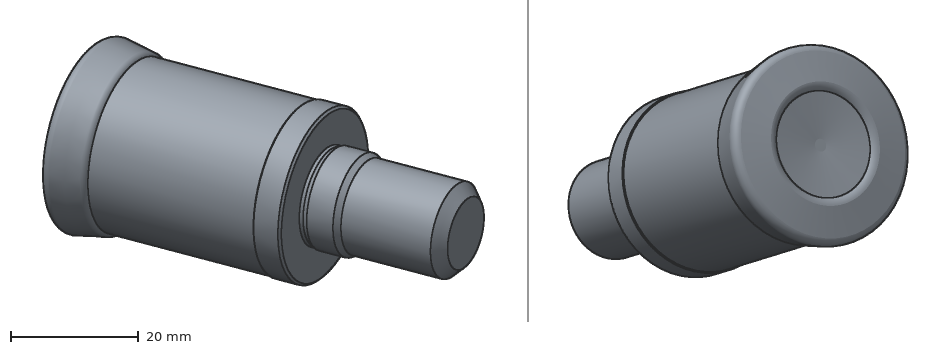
import cadquery as cq

TOTAL_LENGTH = 68.0

CAP_LENGTH = 8.4
CAP_RADIUS = 16.0
CAP_CROWN_X = 2.4
FACE_CREST_RADIUS = 9.85
FACE_RIM_X = 0.75
FACE_RIM_RADIUS = 14.9
FRONT_ROUND_MID_X = 1.2
FRONT_ROUND_MID_RADIUS = 15.65
FLARE_END_X = 7.4
FLARE_END_RADIUS = 15.0
REAR_ROUND_MID_X = 8.1
REAR_ROUND_MID_RADIUS = 14.75
DISH_RADIUS = 8.5
DISH_EDGE_X = 0.7
LIP_MID_RADIUS = 9.1
LIP_MID_X = 0.2
DISH_FLOOR_X = 1.5
DISH_FLOOR_RADIUS = 1.0

BARREL_RADIUS = 28.6 / 2
FLANGE_RADIUS = 29.0 / 2
FLANGE_START_X = 37.95
FLANGE_END_X = 42.85
FLANGE_CHAMFER = 0.4
FLANGE_STEP = FLANGE_RADIUS - BARREL_RADIUS
COLLAR_RADIUS = 17.0 / 2
NECK_EDGE_RADIUS = 8.3
NECK_RADIUS = 8.15
NECK_X = 43.45
COLLAR_START_X = 44.3
COLLAR_END_X = 48.95
COLLAR_TAPER_END_X = 50.05
SHANK_RADIUS = 15.8 / 2
SHANK_CHAMFER = 2.0


def turn(half_profile):
    """Revolve a closed (x, radius) half profile about the X axis."""
    return half_profile.close().revolve(360, (0, 0, 0), (1, 0, 0))


def make_cap():
    half_profile = (
        cq.Workplane("XY")
        .moveTo(DISH_FLOOR_X, 0)
        .lineTo(DISH_FLOOR_X, DISH_FLOOR_RADIUS)
        .lineTo(DISH_EDGE_X, DISH_RADIUS)
        .threePointArc((LIP_MID_X, LIP_MID_RADIUS), (0, FACE_CREST_RADIUS))
        .lineTo(FACE_RIM_X, FACE_RIM_RADIUS)
        .threePointArc((FRONT_ROUND_MID_X, FRONT_ROUND_MID_RADIUS), (CAP_CROWN_X, CAP_RADIUS))
        .lineTo(FLARE_END_X, FLARE_END_RADIUS)
        .threePointArc((REAR_ROUND_MID_X, REAR_ROUND_MID_RADIUS), (CAP_LENGTH, BARREL_RADIUS))
        .lineTo(CAP_LENGTH, 0)
    )
    return turn(half_profile)


def make_housing():
    half_profile = cq.Workplane("XY").polyline([
        (CAP_LENGTH, 0),
        (CAP_LENGTH, BARREL_RADIUS),
        (FLANGE_START_X, BARREL_RADIUS),
        (FLANGE_START_X + FLANGE_STEP, FLANGE_RADIUS),
        (FLANGE_END_X - FLANGE_CHAMFER, FLANGE_RADIUS),
        (FLANGE_END_X, FLANGE_RADIUS - FLANGE_CHAMFER),
        (FLANGE_END_X, NECK_EDGE_RADIUS),
        (NECK_X, NECK_RADIUS),
        (COLLAR_START_X, COLLAR_RADIUS),
        (COLLAR_END_X, COLLAR_RADIUS),
        (COLLAR_TAPER_END_X, SHANK_RADIUS),
        (TOTAL_LENGTH - SHANK_CHAMFER, SHANK_RADIUS),
        (TOTAL_LENGTH, SHANK_RADIUS - SHANK_CHAMFER),
        (TOTAL_LENGTH, 0),
    ])
    return turn(half_profile)


cap = make_cap()
housing = make_housing()

result = cq.Compound.makeCompound([cap.val(), housing.val()])